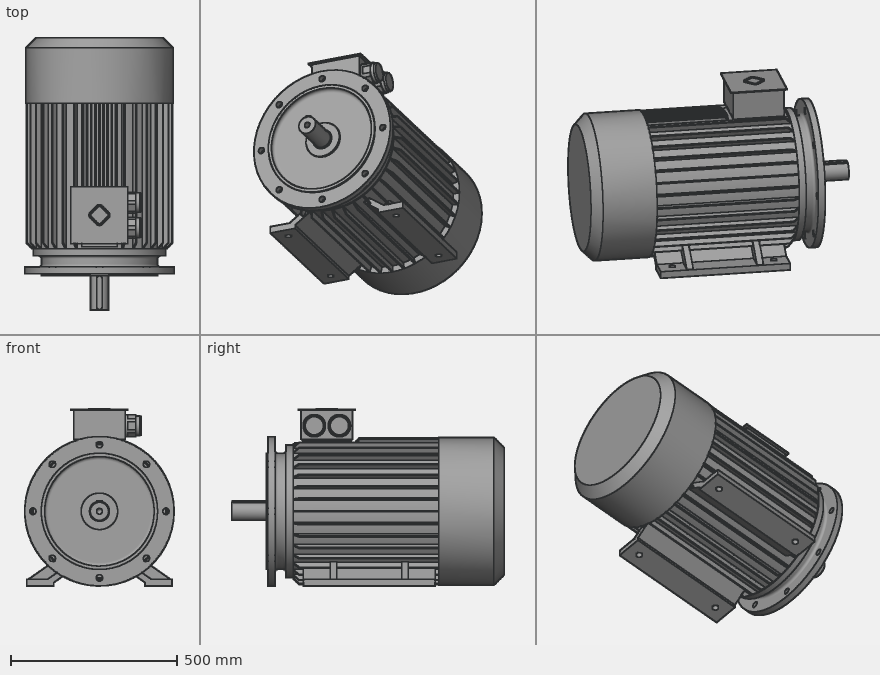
import cadquery as cq
import math


flange_dia = 450.0
flange_thickness = 21.0
bolt_circle_dia = 400.0
bolt_hole_dia = 19.0
bolt_hole_count = 8
spigot_dia = 350.0
spigot_height = 5.0
recess_dia = 330.0
recess_depth = 15.5
recess_fillet = 10.0
neck_fillet = 8.0
shield_dia = 400.0
shield_front = 54.0
shield_back = 75.5

cover_dia = 110.0
cover_height = 6.5
collar_dia = 60.0
collar_height = 4.0
shaft_dia = 55.0
shaft_end = -109.0
centre_hole_dia = 17.0
centre_hole_depth = 33.0
centre_hole_point = 118
key_width = 16.0
key_length = 102.0
key_end_gap = 2.0
key_top = 31.0
key_bottom = 20.5

body_dia = 405.0
fin_tip_dia = 441.0
fin_thickness = 4.0
fin_step = 10
fin_end_chamfer = 18.0
cowl_front = 514.0
cowl_back = 711.0
cowl_dia = 445.0
cowl_chamfer = 31.0

deck_width = 107.0
deck_top = 206.0
deck_front = 81.0
deck_fin_pitch = 12.0
deck_fin_count = 9
deck_fin_front = 257.0

box_centre_y = 177.0
box_size = 156.0
box_bottom = 212.0
box_bottom_chamfer = 5.0
lid_size = 171.0
lid_bottom = 303.0
lid_top = 307.0
pedestal_width = deck_width
pedestal_length = 107.5
badge_side = 51.0
badge_corner = 11.0
badge_rim = 5.0
badge_height = 2.05

gland_pitch = 75.5
gland_z = 257.5
gland_neck_length = 7.0
gland_nut_length = 25.0
gland_nut_dia = 67.0
gland_nut_flats = 63.0
gland_cap_length = 16.0
gland_cap_dia = 60.0
gland_cap_end_dia = 55.0
gland_cap_taper_length = 6.0

foot_front = 107.0
foot_length = 396.0
foot_outer = 219.0
foot_inner = 137.0
foot_bottom = -flange_dia / 2
foot_thickness = 21.0
foot_inner_height = 11.0
web_start = 155.0
gusset_start = 213.0
web_slope = 35
web_reach = 74.0
gusset_thickness = 20.0
gusset_pitch = 215.0
foot_hole_dia = bolt_hole_dia
foot_hole_pitch = 311.0

recess_floor = recess_depth - spigot_height
cover_face = recess_floor - cover_height
collar_face = cover_face - collar_height
foot_centre_y = foot_front + foot_length / 2
box_side = box_size / 2
body_r = body_dia / 2
fin_tip_r = fin_tip_dia / 2
fin_root = body_r - fin_end_chamfer


def cylinder_y(dia, start, end):
    """Round bar about the shaft axis between two Y positions."""
    return cq.Workplane("XZ", origin=(0, start, 0)).circle(dia / 2).extrude(start - end)


def block(x0, x1, y0, y1, z0, z1):
    """Box given by its limits on the three axes."""
    return cq.Workplane("XY").box(x1 - x0, y1 - y0, z1 - z0, centered=False).translate((x0, y0, z0))


def make_core():
    """Revolved housing: flange, filleted neck, shield, finless body and fan cowl."""
    neck_r = spigot_dia / 2
    diag = neck_fillet * (1 - math.sqrt(0.5))
    profile = (
        cq.Workplane("XY")
        .moveTo(0, -spigot_height)
        .lineTo(neck_r, -spigot_height)
        .lineTo(neck_r, 0)
        .lineTo(flange_dia / 2, 0)
        .lineTo(flange_dia / 2, flange_thickness)
        .lineTo(neck_r + neck_fillet, flange_thickness)
        .threePointArc(
            (neck_r + diag, flange_thickness + diag),
            (neck_r, flange_thickness + neck_fillet),
        )
        .lineTo(neck_r, shield_front - neck_fillet)
        .threePointArc(
            (neck_r + diag, shield_front - diag),
            (neck_r + neck_fillet, shield_front),
        )
        .lineTo(shield_dia / 2, shield_front)
        .lineTo(shield_dia / 2, shield_back)
        .lineTo(body_r, shield_back)
        .lineTo(body_r, cowl_front)
        .lineTo(cowl_dia / 2, cowl_front)
        .lineTo(cowl_dia / 2, cowl_back - cowl_chamfer)
        .lineTo(cowl_dia / 2 - cowl_chamfer, cowl_back)
        .lineTo(0, cowl_back)
        .close()
    )
    core = profile.revolve(360, (0, 0, 0), (0, 1, 0))
    recess = cylinder_y(recess_dia, -spigot_height, recess_floor)
    recess = recess.faces(">Y").edges().fillet(recess_fillet)
    return core.cut(recess)


def make_bolt_holes():
    """Through holes on the flange bolt circle."""
    return (
        cq.Workplane("XZ")
        .polarArray(bolt_circle_dia / 2, 0, 360, bolt_hole_count)
        .circle(bolt_hole_dia / 2)
        .extrude(-flange_thickness)
    )


def make_shaft():
    """Bearing cover, collar and shaft with a feather key and a drilled centre hole."""
    cover = cylinder_y(cover_dia, cover_face, recess_floor)
    collar = cylinder_y(collar_dia, collar_face, recess_floor)
    shaft = cylinder_y(shaft_dia, shaft_end, recess_floor)
    key = (
        cq.Workplane("XY", origin=(0, shaft_end + key_end_gap + key_length / 2, key_bottom))
        .slot2D(key_length, key_width, 90)
        .extrude(key_top - key_bottom)
    )
    hole_r = centre_hole_dia / 2
    point_length = hole_r / math.tan(math.radians(centre_hole_point / 2))
    hole_end = shaft_end + centre_hole_depth
    centre_hole = (
        cq.Workplane("XY")
        .polyline([(0, shaft_end), (hole_r, shaft_end), (hole_r, hole_end), (0, hole_end + point_length)])
        .close()
        .revolve(360, (0, 0, 0), (0, 1, 0))
    )
    return cover.union(collar).union(shaft).union(key).cut(centre_hole)


def fin_envelope(front):
    """Round space the fins fill, with its front end chamfered."""
    return cylinder_y(fin_tip_dia, front, cowl_front).faces("<Y").chamfer(fin_end_chamfer)


def make_radial_fins():
    """Fins all round the housing, leaving out the top one and its two neighbours for the deck."""
    half = fin_thickness / 2
    fin = block(-half, half, shield_back, cowl_front, fin_root, fin_tip_r)
    fins = cq.Workplane("XY")
    for angle in range(2 * fin_step, 360 - fin_step, fin_step):
        fins = fins.add(fin.rotate((0, 0, 0), (0, 1, 0), angle))
    return fins.combine().intersect(fin_envelope(shield_back))


def make_deck():
    """Flat deck under the terminal box with upright parallel fins behind the box."""
    half = deck_width / 2
    deck = block(-half, half, deck_front, cowl_front, fin_root, deck_top)
    fins = (
        cq.Workplane("XY", origin=(0, (deck_fin_front + cowl_front) / 2, fin_root))
        .rarray(deck_fin_pitch, 8, deck_fin_count, 1)
        .rect(fin_thickness, cowl_front - deck_fin_front)
        .extrude(fin_tip_r - fin_root)
        .intersect(fin_envelope(deck_fin_front))
    )
    return deck.union(fins)


def make_terminal_box():
    """Box on a pedestal, with an overhanging lid and a rimmed square badge."""
    base = cq.Workplane("XY", origin=(0, box_centre_y, 0))
    pedestal = (
        base.workplane(offset=deck_top)
        .rect(pedestal_width, pedestal_length)
        .extrude(box_bottom - deck_top)
    )
    box = (
        base.workplane(offset=box_bottom)
        .rect(box_size, box_size)
        .extrude(lid_bottom - box_bottom)
        .faces("<Z")
        .chamfer(box_bottom_chamfer)
    )
    lid = base.workplane(offset=lid_bottom).rect(lid_size, lid_size).extrude(lid_top - lid_bottom)
    badge = (
        cq.Workplane("XY")
        .rect(badge_side, badge_side)
        .extrude(badge_height)
        .edges("|Z")
        .fillet(badge_corner)
        .faces(">Z or <Z")
        .shell(-badge_rim)
        .rotate((0, 0, 0), (0, 0, 1), 45)
        .translate((0, box_centre_y, lid_top))
    )
    return pedestal.union(box).union(lid).union(badge)


def make_gland(y):
    """Cable gland on the +X side of the box: neck, rounded hexagon nut and cap."""
    face = cq.Workplane("YZ", origin=(box_side, y, gland_z))
    nut_face = face.workplane(offset=gland_neck_length)
    cap_face = nut_face.workplane(offset=gland_nut_length)
    nut_corners = gland_nut_flats / math.cos(math.radians(30))
    neck = face.circle(gland_nut_dia / 2).extrude(gland_neck_length)
    hexagon = (
        nut_face.polygon(6, nut_corners)
        .extrude(gland_nut_length)
        .rotate((0, y, gland_z), (1, y, gland_z), 90)
    )
    nut = nut_face.circle(gland_nut_dia / 2).extrude(gland_nut_length).intersect(hexagon)
    cap = (
        cap_face.circle(gland_cap_dia / 2)
        .extrude(gland_cap_length)
        .faces(">X")
        .chamfer(gland_cap_taper_length, (gland_cap_dia - gland_cap_end_dia) / 2)
    )
    return neck.union(nut).union(cap)


def make_foot():
    """Foot on the +X side: plate, sloping web up to the housing, two gussets and two bolt holes."""
    rise = web_reach * math.tan(math.radians(web_slope))
    plate_top = foot_bottom + foot_thickness
    lip_top = foot_bottom + foot_inner_height
    section = [
        (foot_outer, foot_bottom),
        (foot_outer, plate_top),
        (web_start, plate_top),
        (web_start - web_reach, plate_top + rise),
        (foot_inner - web_reach, lip_top + rise),
        (foot_inner, lip_top),
        (foot_inner, foot_bottom),
    ]
    foot = cq.Workplane("XZ", origin=(0, foot_front, 0)).polyline(section).close().extrude(-foot_length)
    gusset_section = [
        (gusset_start, plate_top),
        (gusset_start - web_reach, plate_top + rise),
        (web_start - web_reach, plate_top + rise),
        (web_start, plate_top),
    ]
    for side in (-1, 1):
        front = foot_centre_y + (side * gusset_pitch - gusset_thickness) / 2
        gusset = (
            cq.Workplane("XZ", origin=(0, front, 0))
            .polyline(gusset_section)
            .close()
            .extrude(-gusset_thickness)
        )
        foot = foot.union(gusset)
    holes = (
        cq.Workplane("XY", origin=((foot_outer + foot_inner) / 2, foot_centre_y, foot_bottom))
        .rarray(8, foot_hole_pitch, 1, 2)
        .circle(foot_hole_dia / 2)
        .extrude(foot_thickness)
    )
    return foot.cut(holes)


foot = make_foot()
result = (
    make_core()
    .cut(make_bolt_holes())
    .union(make_shaft())
    .union(make_radial_fins())
    .union(make_deck())
    .union(make_terminal_box())
    .union(foot)
    .union(foot.mirror("YZ"))
)
for side in (-1, 1):
    result = result.union(make_gland(box_centre_y + side * gland_pitch / 2))